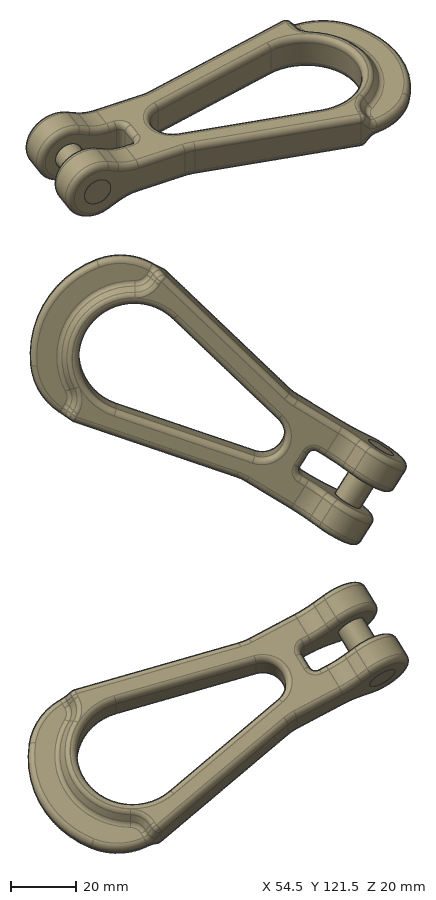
import cadquery as cq
import math

body_thickness = 12.0
edge_radius = 2.0

clevis_width = 30.0
slot_width = 9.0
slot_end_y = 18.5
slot_corner_radius = 2.0
lug_radius = 10.0
lug_slope_angle = math.radians(25.0)
lug_neck_radius = 15.0
pin_diameter = 9.0

opening_small_radius = 7.0
opening_small_y = 33.6
opening_large_radius = 17.0
opening_large_y = 79.6

eye_end_y = 111.5
eye_half_width = 27.25
crown_radius = 32.0
shoulder_radius = 20.0
arm_corner_y = 31.8
arm_corner_radius = 15.0

flange_thickness = 5.0
step_angle = math.radians(52.0)
step_base_radius = 22.8
step_blend_radius = 4.9
step_blend_angle = math.radians(31.0)
margin = 20.0
tolerance = 1e-3

half_thickness = body_thickness / 2
half_clevis = clevis_width / 2
half_flange = flange_thickness / 2


def polar(center, radius, angle):
    """Point on a circle at an angle counted from +X."""
    return (center[0] + radius * math.cos(angle), center[1] + radius * math.sin(angle))


def mirrored(point):
    return (-point[0], point[1])


def prism(profile, half_height):
    return profile.extrude(half_height, both=True)


def outer_outline():
    """Crown arc, shoulder arcs, straight arms and the clevis sides."""
    crown_center = (0, eye_end_y - crown_radius)
    shoulder_x = eye_half_width - shoulder_radius
    shoulder_rise = math.sqrt((crown_radius - shoulder_radius) ** 2 - shoulder_x**2)
    shoulder_center = (shoulder_x, crown_center[1] + shoulder_rise)
    shoulder_start = math.atan2(shoulder_rise, shoulder_x)

    run_x = shoulder_x - half_clevis
    run_y = shoulder_center[1] - arm_corner_y
    arm_direction = math.atan2(run_y, run_x) - math.asin(shoulder_radius / math.hypot(run_x, run_y))
    shoulder_end = arm_direction - math.pi / 2

    top_joint = polar(crown_center, crown_radius, shoulder_start)
    shoulder_mid = polar(shoulder_center, shoulder_radius, (shoulder_start + shoulder_end) / 2)
    arm_top = polar(shoulder_center, shoulder_radius, shoulder_end)

    tangent_length = arm_corner_radius * math.tan((math.pi / 2 - arm_direction) / 2)
    arm_foot = polar((half_clevis, arm_corner_y), tangent_length, arm_direction)
    side_top = (half_clevis, arm_corner_y - tangent_length)
    corner_center = (half_clevis + arm_corner_radius, side_top[1])
    corner_mid = polar(corner_center, arm_corner_radius, (math.pi + arm_direction + math.pi / 2) / 2)
    side_foot = (half_clevis, neck_end_y())

    return (
        cq.Workplane("XY")
        .moveTo(*mirrored(top_joint))
        .threePointArc((0, eye_end_y), top_joint)
        .threePointArc(shoulder_mid, arm_top)
        .lineTo(*arm_foot)
        .threePointArc(corner_mid, side_top)
        .lineTo(*side_foot)
        .lineTo(*mirrored(side_foot))
        .lineTo(*mirrored(side_top))
        .threePointArc(mirrored(corner_mid), mirrored(arm_foot))
        .lineTo(*mirrored(arm_top))
        .threePointArc(mirrored(shoulder_mid), mirrored(top_joint))
        .close()
    )


def lug_slope_points():
    """(Y, Z) points where the lug circle, slope, neck arc and flat face join."""
    circle_joint = polar((0, 0), lug_radius, math.pi / 2 - lug_slope_angle)
    neck_center_z = half_thickness + lug_neck_radius
    slope_foot_z = neck_center_z - lug_neck_radius * math.cos(lug_slope_angle)
    slope_foot_y = circle_joint[0] + (circle_joint[1] - slope_foot_z) / math.tan(lug_slope_angle)
    neck_center = (slope_foot_y + lug_neck_radius * math.sin(lug_slope_angle), neck_center_z)
    neck_mid = polar(neck_center, lug_neck_radius, -math.pi / 2 - lug_slope_angle / 2)
    return circle_joint, (slope_foot_y, slope_foot_z), neck_mid, (neck_center[0], half_thickness)


def neck_end_y():
    return lug_slope_points()[3][0]


def clevis_block():
    """Side profile of the lugs across the whole clevis width."""
    circle_joint, slope_foot, neck_mid, neck_end = lug_slope_points()

    def lower(point):
        return (point[0], -point[1])

    profile = (
        cq.Workplane("YZ")
        .moveTo(*neck_end)
        .threePointArc(neck_mid, slope_foot)
        .lineTo(*circle_joint)
        .threePointArc((-lug_radius, 0), lower(circle_joint))
        .lineTo(*lower(slope_foot))
        .threePointArc(lower(neck_mid), lower(neck_end))
        .close()
    )
    return prism(profile, half_clevis)


def thick_zone():
    """Sloped block above the flange that covers all but the flange area."""
    center = (0, opening_large_y)
    round_end = polar(center, step_base_radius, step_blend_angle)
    blend_center = polar(center, step_base_radius + step_blend_radius, step_blend_angle)
    blend_mid = polar(blend_center, step_blend_radius, (2.5 * math.pi + step_blend_angle) / 2)
    blend_end = (blend_center[0], blend_center[1] - step_blend_radius)
    side_x = eye_half_width + margin
    bottom_y = -lug_radius - margin
    height = half_thickness - half_flange
    return (
        cq.Workplane("XY")
        .workplane(offset=half_flange)
        .moveTo(side_x, bottom_y)
        .lineTo(side_x, blend_end[1])
        .lineTo(*blend_end)
        .threePointArc(blend_mid, round_end)
        .threePointArc((0, opening_large_y + step_base_radius), mirrored(round_end))
        .threePointArc(mirrored(blend_mid), mirrored(blend_end))
        .lineTo(-side_x, blend_end[1])
        .lineTo(-side_x, bottom_y)
        .close()
        .extrude(height, taper=90 - math.degrees(step_angle))
    )


def opening():
    """Teardrop through-opening: two arcs joined by their common tangents."""
    span = opening_large_y - opening_small_y
    tilt = -math.asin((opening_large_radius - opening_small_radius) / span)
    upper = polar((0, opening_large_y), opening_large_radius, tilt)
    lower = polar((0, opening_small_y), opening_small_radius, tilt)
    profile = (
        cq.Workplane("XY")
        .moveTo(*lower)
        .lineTo(*upper)
        .threePointArc((0, opening_large_y + opening_large_radius), mirrored(upper))
        .lineTo(*mirrored(lower))
        .threePointArc((0, opening_small_y - opening_small_radius), lower)
        .close()
    )
    return prism(profile, half_thickness)


def clevis_slot():
    length = slot_end_y + lug_radius + margin
    return (
        cq.Workplane("XY")
        .box(slot_width, length, 2 * lug_radius)
        .edges("|Z and >Y")
        .fillet(slot_corner_radius)
        .translate((0, slot_end_y - length / 2, 0))
    )


def body_blank():
    flange = prism(outer_outline(), half_flange)
    plate = prism(outer_outline(), half_thickness)
    zone = thick_zone()
    thick_top = plate.intersect(zone)
    thick_bottom = plate.intersect(zone.mirror("XY"))
    return flange.union(thick_top).union(thick_bottom).union(clevis_block()).clean()


def is_flat(edge):
    return edge.BoundingBox().zlen < tolerance


def step_edges(part):
    """Foot and top edges of the sloped step faces."""
    slope_z = math.cos(step_angle)
    slopes = [face for face in part.faces().vals() if abs(abs(face.normalAt().z) - slope_z) < tolerance]
    return [edge for face in slopes for edge in face.Edges() if is_flat(edge)]


def is_upright_wall(face):
    """True for faces that rise along Z; the round lug ends are left out."""
    is_lug_end = face.geomType() == "CYLINDER" and face.BoundingBox().zlen > body_thickness
    return abs(face.normalAt().z) < tolerance and not is_lug_end


def is_upright_line(edge):
    return edge.geomType() == "LINE" and abs(edge.tangentAt(0.5).z) > 1 - tolerance


def rim_edges(part):
    """Upper and lower edges of every upright wall."""
    walls = [face for face in part.faces().vals() if is_upright_wall(face)]
    return [edge for wall in walls for edge in wall.Edges() if not is_upright_line(edge)]


def is_opening_rim(edge):
    """Flat edges at full thickness that lie on the wall of the opening."""
    at_face = is_flat(edge) and abs(abs(edge.Center().z) - half_thickness) < tolerance
    middle = cq.Vertex.makeVertex(*edge.positionAt(0.5).toTuple())
    return at_face and opening().val().distance(middle) < tolerance


def opening_rims(part):
    """Upper and lower edges of the teardrop opening."""
    return [edge for edge in part.edges().vals() if is_opening_rim(edge)]


def make_body():
    blank = body_blank()
    slotted = blank.cut(clevis_slot())
    outer_edges = step_edges(slotted) + rim_edges(slotted)
    rounded = slotted.newObject([slotted.val().fillet(edge_radius, outer_edges)])
    pierced = rounded.cut(opening())
    finished = pierced.newObject([pierced.val().fillet(edge_radius, opening_rims(pierced))])
    return finished.cut(make_pin()).solids()


def make_pin():
    left_face = cq.Workplane("YZ").workplane(offset=-half_clevis)
    return left_face.circle(pin_diameter / 2).extrude(clevis_width)


body = make_body()
pin = make_pin()
result = cq.Compound.makeCompound([body.val(), pin.val()])